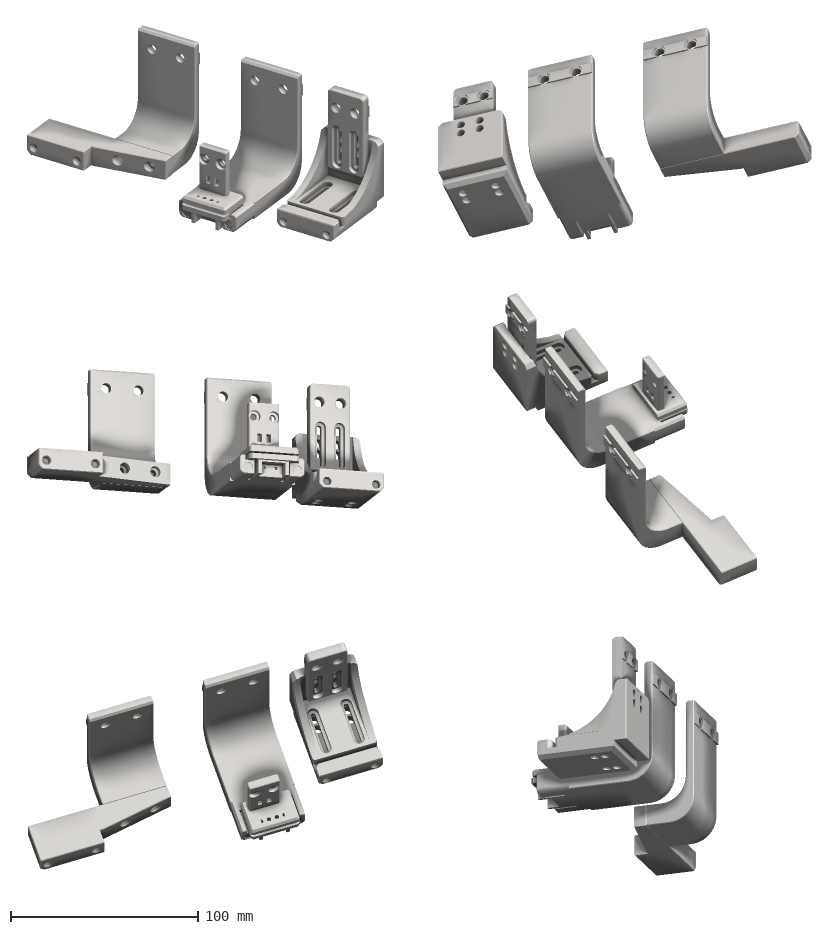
import cadquery as cq
import math

TOP_Z = 68.0
WALL_BACK_Y = 70.5
BRACKET_WIDTH = 36.1
BREAK = 0.4
KEY_Z = 58.0
KEY_HEIGHT = 6.5
KEY_DEPTH = 1.0
KEY_RELIEF_DIAMETER = 7.3
MOUNT_HOLE_DIAMETER = 5.5
MOUNT_HOLE_SPACING = 18.0
MAGNET_DIAMETER = 4.6
MAGNET_SPACING = 27.2
MAGNET_Z = 4.8
MAGNET_DEPTH = 3.9


def box(x0, x1, y0, y1, z0, z1):
    """Block between two opposite corners."""
    return cq.Workplane("XY").box(x1 - x0, y1 - y0, z1 - z0, centered=False).translate((x0, y0, z0))


def extrude_x(profile, x0, x1):
    """Extrude a (Y, Z) profile, drawn on the YZ plane, from x0 to x1."""
    return profile.extrude(x1 - x0).translate((x0, 0, 0))


def bores_y(xs, z, diameter, y0, y1):
    """Round cutters along Y between y0 and y1."""
    cutters = cq.Workplane("XZ", origin=(0, y1, 0)).pushPoints([(x, z) for x in xs])
    return cutters.circle(diameter / 2).extrude(y1 - y0)


def rims_y(xs, z, diameter, face_y):
    """Conical cutters that break the rims of bores opening at a front face."""
    cutters = cq.Workplane("XZ", origin=(0, face_y + BREAK, 0)).pushPoints([(x, z) for x in xs])
    return cutters.circle(diameter / 2).extrude(BREAK, taper=-45)


def pair(center, spacing):
    """Two positions placed evenly about a center."""
    return [center - spacing / 2, center + spacing / 2]


def rear_key(x0, x1, face_y, hole_xs):
    """Full-width bar on a rear face, relieved around the mounting holes."""
    bar = box(x0, x1, face_y, face_y + KEY_DEPTH, KEY_Z - KEY_HEIGHT / 2, KEY_Z + KEY_HEIGHT / 2)
    return bar.cut(bores_y(hole_xs, KEY_Z, KEY_RELIEF_DIAMETER, face_y, face_y + KEY_DEPTH))


LEG_TOP_Z = 11.5
WALL_FRONT_Y = 65.9
BEND_INNER_RADIUS = 14.0
BEND_OUTER_RADIUS = 14.1
WALL_TOP_CHAMFER = 1.2


def make_bracket(x0, leg_front_y, leg_bottom_z):
    """L-shaped bracket: an upright wall that bends forward into a thick leg."""
    x1 = x0 + BRACKET_WIDTH
    diagonal = math.sqrt(0.5)
    inner_y = WALL_FRONT_Y - BEND_INNER_RADIUS
    inner_z = LEG_TOP_Z + BEND_INNER_RADIUS
    outer_y = WALL_BACK_Y - BEND_OUTER_RADIUS
    outer_z = leg_bottom_z + BEND_OUTER_RADIUS
    profile = (
        cq.Workplane("YZ")
        .moveTo(leg_front_y, leg_bottom_z)
        .lineTo(outer_y, leg_bottom_z)
        .threePointArc(
            (outer_y + BEND_OUTER_RADIUS * diagonal, outer_z - BEND_OUTER_RADIUS * diagonal),
            (WALL_BACK_Y, outer_z),
        )
        .lineTo(WALL_BACK_Y, TOP_Z)
        .lineTo(WALL_FRONT_Y + WALL_TOP_CHAMFER, TOP_Z)
        .lineTo(WALL_FRONT_Y, TOP_Z - WALL_TOP_CHAMFER)
        .lineTo(WALL_FRONT_Y, inner_z)
        .threePointArc(
            (inner_y + BEND_INNER_RADIUS * diagonal, inner_z - BEND_INNER_RADIUS * diagonal),
            (inner_y, LEG_TOP_Z),
        )
        .lineTo(leg_front_y, LEG_TOP_Z)
        .close()
    )
    hole_xs = pair((x0 + x1) / 2, MOUNT_HOLE_SPACING)
    bracket = extrude_x(profile, x0, x1)
    bracket = bracket.faces("<X or >X").edges("not <Y").chamfer(BREAK)
    bracket = bracket.union(rear_key(x0, x1, WALL_BACK_Y, hole_xs))
    return bracket.cut(bores_y(hole_xs, KEY_Z, MOUNT_HOLE_DIAMETER, WALL_FRONT_Y, WALL_BACK_Y))


ARM_BRACKET_X = 42.0
ARM_BACK_Y = 43.7
ARM_FRONT_Y = 21.6
ARM_HEAD_WIDTH = 36.0
ARM_NECK_Y = 29.4
ARM_NECK_FLAT = 2.0
ARM_TIP_Y = 36.7
ARM_CORNER_CHAMFER = 2.1
ARM_SCREW_Z = 6.2
ARM_SCREW_DIAMETER = 3.5
ARM_SCREW_HEAD_DIAMETER = 6.0
ARM_SCREW_SEAT_Y = 38.6


def make_offset_arm():
    """Arm that carries the magnets to the side of its bracket."""
    x1 = ARM_BRACKET_X + BRACKET_WIDTH
    outline = [
        (0, ARM_FRONT_Y),
        (ARM_HEAD_WIDTH, ARM_FRONT_Y),
        (ARM_HEAD_WIDTH, ARM_NECK_Y),
        (ARM_HEAD_WIDTH + ARM_NECK_FLAT, ARM_NECK_Y),
        (x1, ARM_TIP_Y),
        (x1, ARM_BACK_Y),
        (0, ARM_BACK_Y),
    ]
    arm = cq.Workplane("XY").polyline(outline).close().extrude(LEG_TOP_Z)
    arm = arm.edges("<X and <Z").chamfer(ARM_CORNER_CHAMFER)
    arm = arm.faces("<Y or >Y or >Z").edges().chamfer(BREAK)
    magnet_xs = pair(ARM_HEAD_WIDTH / 2, MAGNET_SPACING)
    arm = arm.cut(bores_y(magnet_xs, MAGNET_Z, MAGNET_DIAMETER, ARM_FRONT_Y, ARM_FRONT_Y + MAGNET_DEPTH))
    arm = arm.cut(rims_y(magnet_xs, MAGNET_Z, MAGNET_DIAMETER, ARM_FRONT_Y))
    screw_xs = pair(ARM_BRACKET_X + BRACKET_WIDTH / 2, MOUNT_HOLE_SPACING)
    arm = arm.cut(bores_y(screw_xs, ARM_SCREW_Z, ARM_SCREW_DIAMETER, ARM_FRONT_Y, ARM_BACK_Y))
    return arm.cut(bores_y(screw_xs, ARM_SCREW_Z, ARM_SCREW_HEAD_DIAMETER, ARM_FRONT_Y, ARM_SCREW_SEAT_Y))


DOCK_BRACKET_X = 107.0
DOCK_CENTER_X = DOCK_BRACKET_X + BRACKET_WIDTH / 2
DOCK_FRONT_Y = 4.6
DOCK_BACK_Y = 23.2
LOW_BOTTOM_Z = 1.2
DOCK_TOP_CHAMFER = 1.2
DOCK_BOTTOM_RADIUS = 2.9
DOCK_MAGNET_DIAMETER = 5.5
DOCK_MAGNET_DEPTH = 0.5
POCKET_WIDTH = 29.8
POCKET_FLOOR_Z = 8.7
POCKET_BACK_Y = 17.5
CHANNEL_WIDTH = 19.7


def make_forked_dock():
    """Dock block with a stepped channel, open at the front, that receives the probe."""
    dock_x0, dock_x1 = pair(DOCK_CENTER_X, BRACKET_WIDTH)
    dock = box(dock_x0, dock_x1, DOCK_FRONT_Y, DOCK_BACK_Y, LOW_BOTTOM_Z, LEG_TOP_Z)
    dock = dock.edges("|Y and >Z").chamfer(DOCK_TOP_CHAMFER)
    dock = dock.edges("|Y and <Z").fillet(DOCK_BOTTOM_RADIUS)
    dock = dock.faces("<Y").edges().chamfer(BREAK)
    for width, floor_z in ((POCKET_WIDTH, POCKET_FLOOR_Z), (CHANNEL_WIDTH, LOW_BOTTOM_Z)):
        x0, x1 = pair(DOCK_CENTER_X, width)
        dock = dock.cut(box(x0, x1, DOCK_FRONT_Y, POCKET_BACK_Y, floor_z, LEG_TOP_Z))
    magnet_xs = pair(DOCK_CENTER_X, MAGNET_SPACING)
    return dock.cut(
        bores_y(magnet_xs, MAGNET_Z, DOCK_MAGNET_DIAMETER, DOCK_FRONT_Y, DOCK_FRONT_Y + DOCK_MAGNET_DEPTH)
    )


PROBE_WIDTH = 27.5
PROBE_BODY_WIDTH = 17.0
PROBE_CORNER_CHAMFER = 1.2
PROBE_BODY_FRONT_Y = 2.1
PROBE_RECESS_WIDTH = 13.1
PROBE_RECESS_TOP_Z = 7.7
PROBE_RECESS_DEPTH = 6.8
PIN_HOLE_DIAMETER = 1.6
PIN_HOLE_SPACING = 6.4
PIN_HOLE_Z = 6.0
PIN_HOLE_DEPTH = 2.0


def make_probe():
    """Probe: a flat head on a body with two front legs, seated in the dock."""
    x0, x1 = pair(DOCK_CENTER_X, PROBE_WIDTH)
    head = box(x0, x1, 0, POCKET_BACK_Y, POCKET_FLOOR_Z, LEG_TOP_Z)
    head = head.edges("|Z and <Y").chamfer(PROBE_CORNER_CHAMFER)
    x0, x1 = pair(DOCK_CENTER_X, PROBE_BODY_WIDTH)
    probe = head.union(box(x0, x1, PROBE_BODY_FRONT_Y, POCKET_BACK_Y, LOW_BOTTOM_Z, POCKET_FLOOR_Z))
    x0, x1 = pair(DOCK_CENTER_X, PROBE_RECESS_WIDTH)
    recess_back_y = PROBE_BODY_FRONT_Y + PROBE_RECESS_DEPTH
    probe = probe.cut(box(x0, x1, PROBE_BODY_FRONT_Y, recess_back_y, LOW_BOTTOM_Z, PROBE_RECESS_TOP_Z))
    pin_xs = pair(DOCK_CENTER_X, PIN_HOLE_SPACING)
    return probe.cut(
        bores_y(pin_xs, PIN_HOLE_Z, PIN_HOLE_DIAMETER, recess_back_y, recess_back_y + PIN_HOLE_DEPTH)
    )


SLAB_FRONT_Y = 0.5
SLAB_BACK_Y = 19.0
SLAB_BOTTOM_Z = 12.8
SLAB_TOP_Z = 16.5
SLAB_CORNER_RADIUS = 1.4
SLAB_CHAMFER = 1.2
TAB_X0 = 114.5
TAB_X1 = 131.6
TAB_FRONT_Y = 12.8
TAB_BACK_Y = 17.4
TAB_TOP_Z = 42.5
TAB_FRONT_RADIUS = 1.0
TAB_BACK_RADIUS = 1.2
TAB_CENTER_X = (TAB_X0 + TAB_X1) / 2
TAB_SCREW_Z = 35.0
TAB_SCREW_SPACING = 10.6
TAB_SCREW_DIAMETER = 3.7
TAB_SCREW_HEAD_DIAMETER = 6.4
TAB_SCREW_SEAT_DEPTH = 2.3
TIE_SLOT_WIDTH = 2.5
TIE_SLOT_SPACING = 5.2
TIE_SLOT_Z0 = 21.0
TIE_SLOT_Z1 = 25.5
WIRE_HOLE_DIAMETER = 2.3
WIRE_HOLE_Y = 5.2
WIRE_HOLE_COUNT = 4
WIRE_HOLE_PITCH = PROBE_RECESS_WIDTH / (WIRE_HOLE_COUNT - 1)


def wire_holes():
    """Row of wire holes; the two end ones are half rounds, flat on the outside."""
    x0, x1 = pair(DOCK_CENTER_X, PROBE_RECESS_WIDTH)
    points = [(x0 + i * WIRE_HOLE_PITCH, WIRE_HOLE_Y) for i in range(WIRE_HOLE_COUNT)]
    holes = cq.Workplane("XY", origin=(0, 0, SLAB_BOTTOM_Z)).pushPoints(points)
    holes = holes.circle(WIRE_HOLE_DIAMETER / 2).extrude(SLAB_TOP_Z - SLAB_BOTTOM_Z)
    return holes.intersect(box(x0, x1, SLAB_FRONT_Y, TAB_FRONT_Y, SLAB_BOTTOM_Z, SLAB_TOP_Z))


def make_probe_mount():
    """Mount that hovers over the probe: a slab with an upright screw tab."""
    x0, x1 = pair(DOCK_CENTER_X, PROBE_WIDTH)
    slab = box(x0, x1, SLAB_FRONT_Y, SLAB_BACK_Y, SLAB_BOTTOM_Z, SLAB_TOP_Z)
    slab = slab.edges("|Z and <Y").fillet(SLAB_CORNER_RADIUS)
    slab = slab.faces(">Z").edges("not >Y").chamfer(SLAB_CHAMFER)
    slab = slab.cut(wire_holes())
    tab = box(TAB_X0, TAB_X1, TAB_FRONT_Y, TAB_BACK_Y, SLAB_TOP_Z, TAB_TOP_Z)
    tab = tab.edges("|Z and <Y").fillet(TAB_FRONT_RADIUS)
    tab = tab.edges("|Z and >Y").fillet(TAB_BACK_RADIUS)
    tab = tab.faces(">Z").edges().chamfer(BREAK)
    screw_xs = pair(TAB_CENTER_X, TAB_SCREW_SPACING)
    seat_y = TAB_FRONT_Y + TAB_SCREW_SEAT_DEPTH
    tab = tab.cut(bores_y(screw_xs, TAB_SCREW_Z, TAB_SCREW_DIAMETER, TAB_FRONT_Y, TAB_BACK_Y))
    tab = tab.cut(bores_y(screw_xs, TAB_SCREW_Z, TAB_SCREW_HEAD_DIAMETER, TAB_FRONT_Y, seat_y))
    for slot_x in pair(TAB_CENTER_X, TIE_SLOT_SPACING):
        slot_x0, slot_x1 = pair(slot_x, TIE_SLOT_WIDTH)
        tab = tab.cut(box(slot_x0, slot_x1, TAB_FRONT_Y, TAB_BACK_Y, TIE_SLOT_Z0, TIE_SLOT_Z1))
    return slab.union(tab)


CRADLE_X0 = 157.0
CRADLE_X1 = 193.0
CRADLE_CENTER_X = (CRADLE_X0 + CRADLE_X1) / 2
ADJUST_SLOT_WIDTH = 2.7
ADJUST_SLOT_HEAD_WIDTH = 6.0
ADJUST_HOLE_DIAMETER = 4.6
ADJUST_HOLE_PITCH = 5.8


def slot_cutter(workplane, points, length, width, depth):
    """Round-ended cutters, upright in the workplane."""
    return workplane.pushPoints(points).slot2D(length, width, 90).extrude(depth)


CRADLE_FRONT_Y = 33.2
CRADLE_BACK_Y = 73.8
CRADLE_WALL_Y = 68.8
CRADLE_BOTTOM_Z = 6.5
CRADLE_FLOOR_Z = 12.0
CRADLE_TOP_Z = 41.4
CRADLE_TOP_CHAMFER = 2.1
CRADLE_FRONT_CHAMFER = 1.0
RIB_WIDTH = 3.9
RIB_RADIUS = 36.0
FLOOR_SLOT_SPACING = 18.5
FLOOR_SLOT_Y = 49.0
FLOOR_SLOT_LENGTH = 24.7
FLOOR_SLOT_HEAD_DEPTH = 2.7
PANEL_Y0 = 41.0
PANEL_Y1 = 58.0
PANEL_Z0 = 12.5
PANEL_Z1 = 21.3
PANEL_X1 = 193.2

UPRIGHT_WIDTH = 22.5
UPRIGHT_FRONT_Y = 63.4
UPRIGHT_BOTTOM_Z = 20.3
UPRIGHT_TOP_RADIUS = 2.1
UPRIGHT_BOTTOM_RADIUS = 1.0
UPRIGHT_HOLE_SPACING = 12.0
UPRIGHT_SLOT_SPACING = 10.6
UPRIGHT_SLOT_Z = 34.4
UPRIGHT_SLOT_LENGTH = 22.5
UPRIGHT_SLOT_HEAD_DEPTH = 2.5
WALL_HOLE_Z = 36.5

BASE_FRONT_Y = 23.4
BASE_BLOCK_BACK_Y = 31.1
BASE_BACK_Y = 66.7
BASE_CHAMFER = 2.1
BASE_HOLE_Y = 58.7
BASE_HOLE_ROWS = 2


def cradle_wall_holes():
    """Two rows of screw holes through the cradle wall."""
    xs = pair(CRADLE_CENTER_X, UPRIGHT_SLOT_SPACING)
    upper = bores_y(xs, WALL_HOLE_Z, ADJUST_HOLE_DIAMETER, CRADLE_WALL_Y, CRADLE_BACK_Y)
    return upper.union(upper.translate((0, 0, -ADJUST_HOLE_PITCH)))


def floor_slots():
    """Stepped slots through the cradle floor."""
    points = [(x, FLOOR_SLOT_Y) for x in pair(CRADLE_CENTER_X, FLOOR_SLOT_SPACING)]
    through = cq.Workplane("XY", origin=(0, 0, CRADLE_BOTTOM_Z))
    head = cq.Workplane("XY", origin=(0, 0, CRADLE_FLOOR_Z - FLOOR_SLOT_HEAD_DEPTH))
    head_length = FLOOR_SLOT_LENGTH + ADJUST_SLOT_HEAD_WIDTH - ADJUST_SLOT_WIDTH
    height = CRADLE_TOP_Z - CRADLE_BOTTOM_Z
    slots = slot_cutter(through, points, FLOOR_SLOT_LENGTH, ADJUST_SLOT_WIDTH, height)
    return slots.union(slot_cutter(head, points, head_length, ADJUST_SLOT_HEAD_WIDTH, height))


def make_cradle():
    """Cradle with concave side ribs between its floor and its rear wall."""
    curve_y = CRADLE_WALL_Y - RIB_RADIUS
    curve_z = CRADLE_FLOOR_Z + RIB_RADIUS
    cradle = box(CRADLE_X0, CRADLE_X1, CRADLE_FRONT_Y, CRADLE_BACK_Y, CRADLE_BOTTOM_Z, CRADLE_TOP_Z)
    cradle = cradle.edges("|Y and >Z").chamfer(CRADLE_TOP_CHAMFER)
    cradle = cradle.faces(">Y").edges().chamfer(BREAK)
    cradle = cradle.edges("|Z and <Y").chamfer(CRADLE_FRONT_CHAMFER)
    curve = cq.Workplane("YZ").center(curve_y, curve_z).circle(RIB_RADIUS)
    scoop = extrude_x(curve, CRADLE_X0, PANEL_X1)
    cradle = cradle.cut(scoop)
    hollow_x0, hollow_x1 = CRADLE_X0 + RIB_WIDTH, CRADLE_X1 - RIB_WIDTH
    hollow = box(hollow_x0, hollow_x1, CRADLE_FRONT_Y, CRADLE_WALL_Y, CRADLE_FLOOR_Z, CRADLE_TOP_Z)
    cradle = cradle.cut(hollow)
    panel = box(CRADLE_X1, PANEL_X1, PANEL_Y0, PANEL_Y1, PANEL_Z0, PANEL_Z1)
    cradle = cradle.union(panel.cut(scoop))
    return cradle.cut(floor_slots()).cut(cradle_wall_holes())


def make_upright():
    """Slotted upright plate with two mounting holes and a rear key."""
    x0, x1 = pair(CRADLE_CENTER_X, UPRIGHT_WIDTH)
    upright = box(x0, x1, UPRIGHT_FRONT_Y, CRADLE_WALL_Y, UPRIGHT_BOTTOM_Z, TOP_Z)
    upright = upright.edges("|Y and >Z").fillet(UPRIGHT_TOP_RADIUS)
    upright = upright.edges("|Y and <Z").fillet(UPRIGHT_BOTTOM_RADIUS)
    upright = upright.faces("<Y").edges().chamfer(BREAK)
    hole_xs = pair(CRADLE_CENTER_X, UPRIGHT_HOLE_SPACING)
    upright = upright.union(rear_key(x0, x1, CRADLE_WALL_Y, hole_xs))
    upright = upright.cut(bores_y(hole_xs, KEY_Z, MOUNT_HOLE_DIAMETER, UPRIGHT_FRONT_Y, CRADLE_WALL_Y))
    upright = upright.cut(rims_y(hole_xs, KEY_Z, MOUNT_HOLE_DIAMETER, UPRIGHT_FRONT_Y))
    points = [(x, UPRIGHT_SLOT_Z) for x in pair(CRADLE_CENTER_X, UPRIGHT_SLOT_SPACING)]
    through = cq.Workplane("XZ", origin=(0, CRADLE_WALL_Y, 0))
    head = cq.Workplane("XZ", origin=(0, UPRIGHT_FRONT_Y + UPRIGHT_SLOT_HEAD_DEPTH, 0))
    head_length = UPRIGHT_SLOT_LENGTH + ADJUST_SLOT_HEAD_WIDTH - ADJUST_SLOT_WIDTH
    thickness = CRADLE_WALL_Y - UPRIGHT_FRONT_Y
    upright = upright.cut(slot_cutter(through, points, UPRIGHT_SLOT_LENGTH, ADJUST_SLOT_WIDTH, thickness))
    return upright.cut(slot_cutter(head, points, head_length, ADJUST_SLOT_HEAD_WIDTH, thickness))


def make_base():
    """Base plate with a magnet block across its front."""
    block = box(CRADLE_X0, CRADLE_X1, BASE_FRONT_Y, BASE_BLOCK_BACK_Y, LOW_BOTTOM_Z, LEG_TOP_Z)
    block = block.edges("|Z and >Y").chamfer(BASE_CHAMFER)
    block = block.faces(">Z").edges().chamfer(BREAK)
    plate = box(CRADLE_X0, CRADLE_X1, BASE_FRONT_Y, BASE_BACK_Y, LOW_BOTTOM_Z, CRADLE_BOTTOM_Z)
    base = block.union(plate)
    base = base.faces("<Z").edges("|Y or >Y").chamfer(BASE_CHAMFER)
    base = base.faces("<Y").edges().chamfer(BREAK)
    magnet_xs = pair(CRADLE_CENTER_X, MAGNET_SPACING)
    magnet_end_y = BASE_FRONT_Y + MAGNET_DEPTH
    base = base.cut(bores_y(magnet_xs, MAGNET_Z, MAGNET_DIAMETER, BASE_FRONT_Y, magnet_end_y))
    hole_xs = pair(CRADLE_CENTER_X, FLOOR_SLOT_SPACING)
    points = [(x, BASE_HOLE_Y - row * ADJUST_HOLE_PITCH) for x in hole_xs for row in range(BASE_HOLE_ROWS)]
    holes = cq.Workplane("XY", origin=(0, 0, LOW_BOTTOM_Z)).pushPoints(points)
    return base.cut(holes.circle(ADJUST_HOLE_DIAMETER / 2).extrude(CRADLE_BOTTOM_Z - LOW_BOTTOM_Z))


arm_bracket = make_bracket(ARM_BRACKET_X, ARM_BACK_Y, 0)
offset_arm = make_offset_arm()
dock_bracket = make_bracket(DOCK_BRACKET_X, DOCK_BACK_Y, LOW_BOTTOM_Z)
forked_dock = make_forked_dock()
probe = make_probe()
probe_mount = make_probe_mount()
cradle = make_cradle()
upright = make_upright()
base = make_base()

bodies = [arm_bracket, offset_arm, dock_bracket, forked_dock, probe, probe_mount, cradle, upright, base]
result = cq.Compound.makeCompound([body.solids().val() for body in bodies])